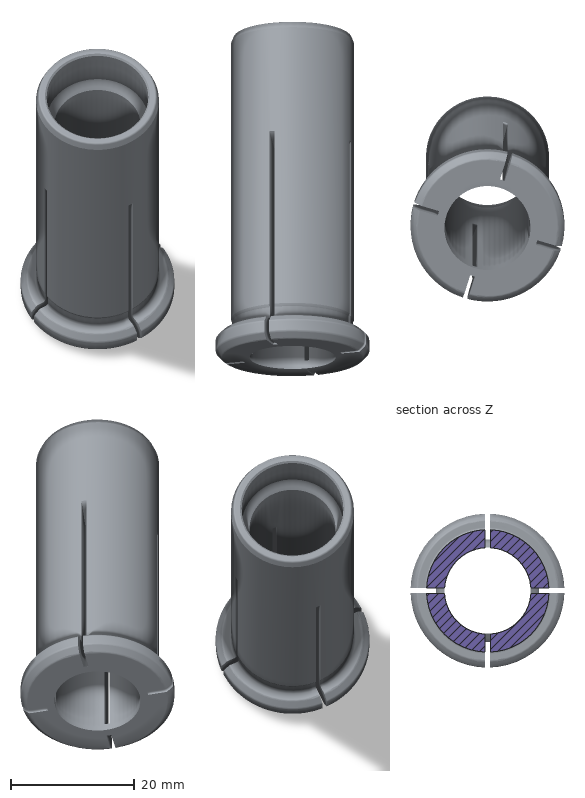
import cadquery as cq

length = 54.0
body_radius = 20.0 / 2
neck_radius = 19.65 / 2
flange_radius = 25.0 / 2
bore_radius = 14.0 / 2
counterbore_radius = 16.5 / 2

flange_height = 4.0
flange_chamfer = 1.0
flange_edge_round = 0.45
neck_fillet = 0.45
neck_top = 5.95
body_bottom = 6.4

end_chamfer_width = 0.45
end_chamfer_height = 1.1
end_round = 0.3
mouth_chamfer = 0.25
counterbore_depth = 6.7

slot_count = 4
slot_width = 0.8
slot_top = 35.6
bridge_height = 1.35


def edges_at(solid, radius, height):
    """Select the circular edge of the given radius and height."""
    tolerance = 0.005
    return solid.edges(
        cq.selectors.BoxSelector(
            (-tolerance, -tolerance, height - tolerance),
            (tolerance, tolerance, height + tolerance),
        )
    ).filter(lambda edge: edge.geomType() == "CIRCLE" and abs(edge.radius() - radius) < tolerance)


def make_sleeve():
    """Revolve the flanged tube, then round its outer corners."""
    bore_cone_bottom = length - counterbore_depth - (counterbore_radius - bore_radius)
    sleeve = (
        cq.Workplane("XZ")
        .moveTo(bore_radius, 0)
        .lineTo(flange_radius - flange_chamfer, 0)
        .lineTo(flange_radius, flange_chamfer)
        .lineTo(flange_radius, flange_height - flange_chamfer)
        .lineTo(flange_radius - flange_chamfer, flange_height)
        .lineTo(neck_radius, flange_height)
        .lineTo(neck_radius, neck_top)
        .lineTo(body_radius, body_bottom)
        .lineTo(body_radius, length - end_chamfer_height)
        .lineTo(body_radius - end_chamfer_width, length)
        .lineTo(counterbore_radius + mouth_chamfer, length)
        .lineTo(counterbore_radius, length - mouth_chamfer)
        .lineTo(counterbore_radius, length - counterbore_depth)
        .lineTo(bore_radius, bore_cone_bottom)
        .close()
        .revolve(360, (0, 0, 0), (0, 1, 0))
    )
    for height in (flange_chamfer, flange_height - flange_chamfer):
        sleeve = edges_at(sleeve, flange_radius, height).fillet(flange_edge_round)
    for height in (0, flange_height):
        sleeve = edges_at(sleeve, flange_radius - flange_chamfer, height).fillet(flange_edge_round)
    sleeve = edges_at(sleeve, neck_radius, flange_height).fillet(neck_fillet)
    return edges_at(sleeve, body_radius - end_chamfer_width, length).fillet(end_round)


def make_slot():
    """Make one radial slot cutter, leaving a sloping bridge at the foot of the bore."""
    inner_top = slot_top - (body_radius - bore_radius)
    cutter_radius = flange_radius + 0.55
    return (
        cq.Workplane("XZ")
        .moveTo(0, bridge_height)
        .lineTo(bore_radius, bridge_height)
        .lineTo(bore_radius + bridge_height, 0)
        .lineTo(cutter_radius, 0)
        .lineTo(cutter_radius, inner_top + cutter_radius - bore_radius)
        .lineTo(bore_radius, inner_top)
        .lineTo(0, inner_top)
        .close()
        .extrude(slot_width / 2, both=True)
    )


result = make_sleeve()
slot = make_slot()
for index in range(slot_count):
    result = result.cut(slot.rotate((0, 0, 0), (0, 0, 1), index * 360 / slot_count))